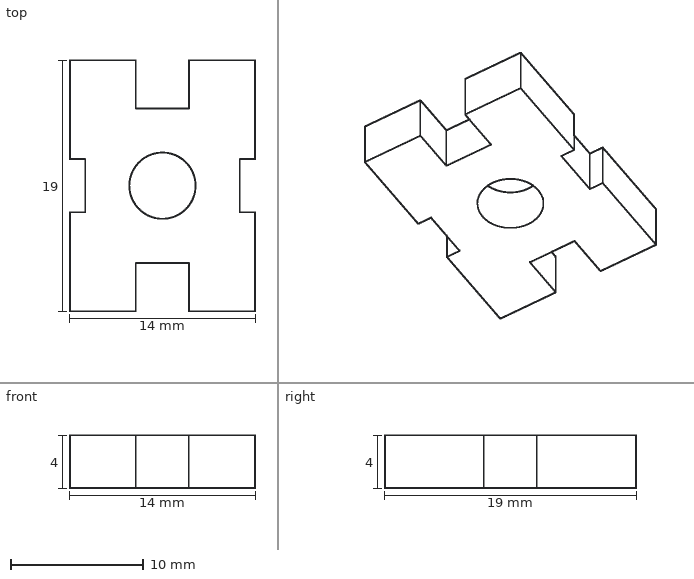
import cadquery as cq

length = 19.0
width = 14.0
thickness = 4.0
hole_diameter = 5.0
notch_width = 4.0
core_side = 11.7

end_notch_depth = (length - core_side) / 2
side_notch_depth = (width - core_side) / 2


def notch_pair(size_x, size_y, offset_x, offset_y):
    """Two through-thickness notch blocks placed symmetrically about the centre."""
    centers = [(offset_x, offset_y), (-offset_x, -offset_y)]
    return cq.Workplane("XY").pushPoints(centers).box(size_x, size_y, thickness)


plate = cq.Workplane("XY").box(width, length, thickness)
plate = plate.faces(">Z").workplane().hole(hole_diameter)

end_notches = notch_pair(notch_width, end_notch_depth, 0, (length - end_notch_depth) / 2)
side_notches = notch_pair(side_notch_depth, notch_width, (width - side_notch_depth) / 2, 0)

result = plate.cut(end_notches).cut(side_notches)